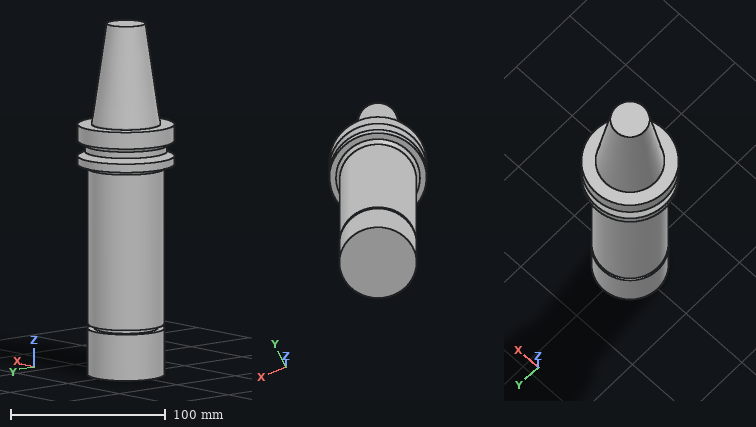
import cadquery as cq
import math

total_length = 230.5

nut_diameter = 50.0
nut_height = 30.5

neck_diameter = 41.0
neck_height = 2.8
barrel_diameter = 49.5
barrel_height = 102.0

shoulder_top_diameter = 54.4
shoulder_height = 2.8

flange_diameter = 63.0
flange_height = 26.3
lower_rim_height = 5.5
groove_diameter = 53.0
groove_floor_height = 4.1
groove_flank_angle = 30.0

taper_base_diameter = 44.5
taper_length = 65.5
taper_ratio = 7 / 24
taper_tip_diameter = taper_base_diameter - taper_ratio * taper_length

neck_top = nut_height + neck_height
barrel_top = neck_top + barrel_height
flange_bottom = barrel_top + shoulder_height
flange_top = flange_bottom + flange_height
taper_base = total_length - taper_length

groove_depth = (flange_diameter - groove_diameter) / 2
groove_flank_height = groove_depth * math.tan(math.radians(groove_flank_angle))
groove_bottom = flange_bottom + lower_rim_height
groove_floor_bottom = groove_bottom + groove_flank_height
groove_floor_top = groove_floor_bottom + groove_floor_height
groove_top = groove_floor_top + groove_flank_height


def make_cylinder(diameter, bottom, top):
    """Solid cylinder about Z between two levels."""
    return cq.Workplane("XY").workplane(offset=bottom).circle(diameter / 2).extrude(top - bottom)


def make_cone(bottom_diameter, top_diameter, bottom, top):
    """Solid truncated cone about Z between two levels."""
    return (
        cq.Workplane("XZ")
        .moveTo(0, bottom)
        .lineTo(bottom_diameter / 2, bottom)
        .lineTo(top_diameter / 2, top)
        .lineTo(0, top)
        .close()
        .revolve(360, (0, 0), (0, 1))
    )


def make_flange():
    """Disc with a V-shaped gripper groove around its rim."""
    disc = make_cylinder(flange_diameter, flange_bottom, flange_top)
    groove = (
        cq.Workplane("XZ")
        .moveTo(flange_diameter / 2, groove_bottom)
        .lineTo(groove_diameter / 2, groove_floor_bottom)
        .lineTo(groove_diameter / 2, groove_floor_top)
        .lineTo(flange_diameter / 2, groove_top)
        .close()
        .revolve(360, (0, 0), (0, 1))
    )
    return disc.cut(groove)


def make_holder():
    """Tool holder: neck, barrel, shoulder, flange, collar and taper in one solid."""
    neck = make_cylinder(neck_diameter, nut_height, neck_top)
    barrel = make_cylinder(barrel_diameter, neck_top, barrel_top)
    shoulder = make_cone(barrel_diameter, shoulder_top_diameter, barrel_top, flange_bottom)
    collar = make_cylinder(taper_base_diameter, flange_top, taper_base)
    taper = make_cone(taper_base_diameter, taper_tip_diameter, taper_base, total_length)
    return neck.union(barrel).union(shoulder).union(make_flange()).union(collar).union(taper)


def make_nut():
    """Clamping nut on which the end of the holder neck rests."""
    return make_cylinder(nut_diameter, 0, nut_height)


holder = make_holder()
nut = make_nut()

result = cq.Compound.makeCompound([holder.solids().val(), nut.val()])